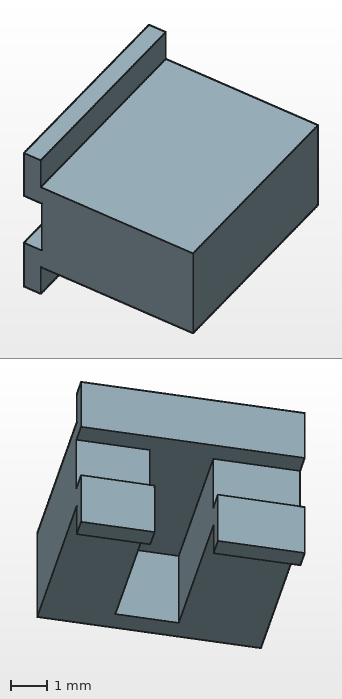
import cadquery as cq

length = 5.6
width = 6.36
flange_height = 4.98

flange_thickness = 0.56
flange_lip = 1.0
body_height = flange_height - 2 * flange_lip

notch_depth = 0.59
upper_bar_height = 1.6
lower_tab_height = 1.66
tab_top_drop = 0.025

tab_width_plus_y = 2.09
tab_width_minus_y = 2.47
slot_end_wall = upper_bar_height - flange_lip

half_width = width / 2
flange_top = flange_height / 2
flange_bottom = -flange_top
notch_top = flange_top - upper_bar_height
notch_floor_plus_y = flange_bottom + lower_tab_height
notch_floor_minus_y = notch_floor_plus_y - tab_top_drop


def centred_block(x_length, height):
    """Full-width block starting at X = 0, centred on Y and Z."""
    return cq.Workplane("XY").box(x_length, width, height, centered=(False, True, True))


def cross_notch():
    """Notch cutter whose floor falls slightly toward -Y."""
    outline = [
        (-half_width, notch_top),
        (half_width, notch_top),
        (half_width, notch_floor_plus_y),
        (-half_width, notch_floor_minus_y),
    ]
    return cq.Workplane("YZ").polyline(outline).close().extrude(notch_depth)


def tab_slot():
    """Slot cutter reaching from the flange face to the end wall, below the roof."""
    slot_width = width - tab_width_plus_y - tab_width_minus_y
    return (
        cq.Workplane("XY")
        .box(length - slot_end_wall, slot_width, notch_top - flange_bottom, centered=False)
        .translate((0, tab_width_minus_y - half_width, flange_bottom))
    )


flange = centred_block(flange_thickness, flange_height)
body = centred_block(length, body_height)
result = body.union(flange).cut(cross_notch()).cut(tab_slot())